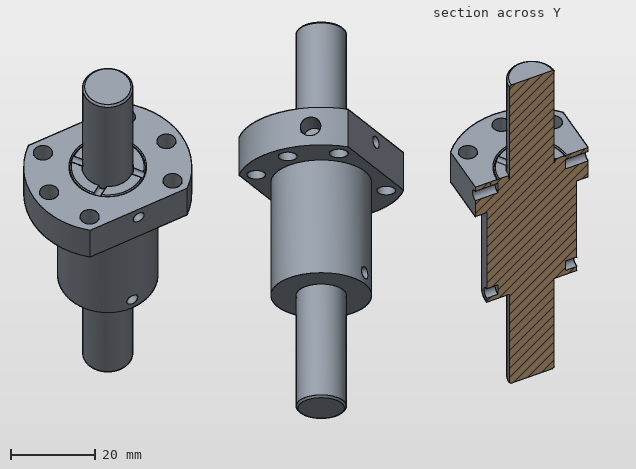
import cadquery as cq
import math

shaft_diameter = 12.0
shaft_length = 100.0
shaft_chamfer = 0.5

body_diameter = 24.0
nut_length = 40.0
flange_diameter = 40.0
flange_width = 30.0
flange_thickness = 10.0
nut_top = nut_length / 2
nut_bottom = -nut_length / 2
flange_bottom = nut_top - flange_thickness

mounting_hole_diameter = 4.5
mounting_circle_diameter = 32.0
mounting_hole_angles = (45, 90, 135, 225, 270, 315)

oil_hole_diameter = 4.92
oil_hole_angle = (90 + 135) / 2
oil_hole_depth = 6.0

pin_hole_diameter = 3.0
pin_hole_inset = 3.0
pin_hole_floor_radius = 9.0

wiper_diameter = 17.9
seam_chamfer = 0.3
bore_diameter = 12.2
bore_gap_depth = 1.0

slot_count = 4
slot_width = 1.8
slot_position_angle = 46.0
slot_twist = -12.0
slot_centre_radius = (wiper_diameter + bore_diameter) / 4


def cylinder(diameter, height, base_z):
    return cq.Workplane("XY").workplane(offset=base_z).circle(diameter / 2).extrude(height)


def ring(outer_diameter, inner_diameter, depth, top_z):
    profile = cq.Workplane("XY").workplane(offset=top_z - depth)
    return profile.circle(outer_diameter / 2).circle(inner_diameter / 2).extrude(depth)


def rod(diameter, start, end):
    axis = end - start
    return cq.Workplane(cq.Solid.makeCylinder(diameter / 2, axis.Length, start, axis))


def polar(radius, angle, z):
    turn = math.radians(angle)
    return cq.Vector(radius * math.cos(turn), radius * math.sin(turn), z)


def make_flange():
    disc = cylinder(flange_diameter, flange_thickness, flange_bottom)
    flats = cq.Workplane("XY").workplane(offset=flange_bottom)
    flats = flats.rect(flange_width, flange_diameter).extrude(flange_thickness)
    flange = disc.intersect(flats)
    for angle in mounting_hole_angles:
        bottom = polar(mounting_circle_diameter / 2, angle, flange_bottom)
        top = polar(mounting_circle_diameter / 2, angle, nut_top)
        flange = flange.cut(rod(mounting_hole_diameter, bottom, top))
    return flange


def make_oil_hole():
    z = nut_top - flange_thickness / 2
    rim_radius = flange_diameter / 2
    floor = polar(rim_radius - oil_hole_depth, oil_hole_angle, z)
    return rod(oil_hole_diameter, floor, polar(rim_radius, oil_hole_angle, z))


def make_pin_holes():
    holes = cq.Workplane("XY")
    for z in (nut_top - pin_hole_inset, nut_bottom + pin_hole_inset):
        for angle in (0, 180):
            floor = polar(pin_hole_floor_radius, angle, z)
            mouth = polar(flange_width / 2, angle, z)
            holes = holes.add(rod(pin_hole_diameter, floor, mouth))
    return holes.combine()


def make_wiper_seam():
    wiper_radius = wiper_diameter / 2
    seam = cq.Workplane("XZ").moveTo(wiper_radius - seam_chamfer, nut_top)
    seam = seam.lineTo(wiper_radius, nut_top - seam_chamfer)
    seam = seam.lineTo(wiper_radius + seam_chamfer, nut_top).close()
    return seam.revolve(360, (0, 0, 0), (0, 1, 0))


def make_wiper_slots():
    wiper_zone = ring(wiper_diameter, shaft_diameter, slot_width, nut_top + slot_width / 2)
    slots = cq.Workplane("XY")
    for index in range(slot_count):
        position_angle = slot_position_angle + index * 360 / slot_count
        centre = polar(slot_centre_radius, position_angle, nut_top)
        reach = polar(wiper_diameter / 4, position_angle + slot_twist, 0)
        slots = slots.add(rod(slot_width, centre - reach, centre + reach))
    return slots.combine().intersect(wiper_zone)


nut = cylinder(body_diameter, nut_length, nut_bottom).union(make_flange())
nut = nut.cut(make_oil_hole()).cut(make_pin_holes())
nut = nut.cut(ring(bore_diameter, shaft_diameter, bore_gap_depth, nut_top))
nut = nut.cut(make_wiper_slots())
nut = nut.cut(make_wiper_seam())

shaft = cylinder(shaft_diameter, shaft_length, -shaft_length / 2)
shaft = shaft.faces("<Z or >Z").chamfer(shaft_chamfer)

result = nut.union(shaft)